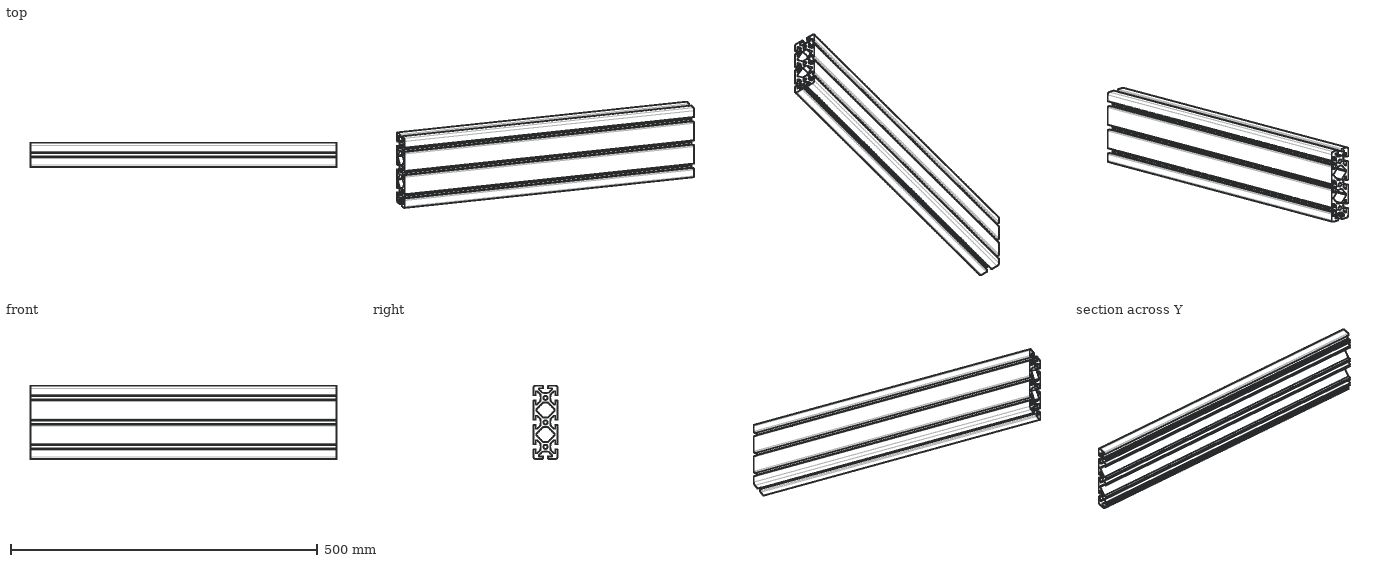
import cadquery as cq
import math

length = 500.0
cell = 40.0
cell_count = 3

corner_radius = 4.0
bore_diameter = 6.5

slot_opening = 8.0
lip_thickness = 4.4
mouth_radius = 1.5
slot_depth = 11.5
pocket_width = 21.0

groove_depth = 0.5
groove_width = 4.5

web_thickness = 4.5

skin_thickness = 5.0
chamber_half_height = 12.0
chamber_diagonal = 16.0

width = cell
height = cell * cell_count
half_cell = cell / 2
core_half = half_cell - slot_depth
web_offset = web_thickness / math.sqrt(2)
cell_centres = [(i - (cell_count - 1) / 2) * cell for i in range(cell_count)]
chamber_centres = [(low + high) / 2 for low, high in zip(cell_centres, cell_centres[1:])]


def extrude_along_x(outline):
    """Closed (y, z) outline swept over the full length of the profile."""
    return cq.Workplane("YZ").polyline(outline).close().extrude(length)


def t_slot(centre_z, angle):
    """T-slot that opens toward +Y from a cell centre, turned about the cell axis."""
    mouth = slot_opening / 2
    pocket = pocket_width / 2
    lip_inside = half_cell - lip_thickness
    floor_half = core_half - web_offset
    groove = groove_width / 2
    wall_end = half_cell - mouth_radius
    upper_half = [
        (core_half - groove_depth, groove),
        (core_half, groove),
        (core_half, floor_half),
        (pocket + web_offset, pocket),
        (lip_inside, pocket),
        (lip_inside, mouth),
        (wall_end, mouth),
    ]
    lower_half = [(y, -z) for y, z in reversed(upper_half)]
    slot = (
        cq.Workplane("YZ")
        .polyline(lower_half + upper_half)
        .radiusArc((half_cell, mouth + mouth_radius), -mouth_radius)
        .lineTo(half_cell, -mouth - mouth_radius)
        .radiusArc(lower_half[0], -mouth_radius)
        .close()
        .extrude(length)
    )
    return slot.rotate((0, 0, 0), (1, 0, 0), angle).translate((0, 0, centre_z))


def hollow_chamber(centre_z):
    """Diamond chamber between two cells, cut flat at its four points."""
    tip_y = half_cell - skin_thickness
    tip_z = chamber_half_height
    quarter = [(tip_y, chamber_diagonal - tip_y), (chamber_diagonal - tip_z, tip_z)]
    upper_half = quarter + [(-y, z) for y, z in reversed(quarter)]
    lower_half = [(-y, -z) for y, z in upper_half]
    return extrude_along_x(upper_half + lower_half).translate((0, 0, centre_z))


result = (
    cq.Workplane("YZ")
    .rect(width, height)
    .extrude(length)
    .edges("|X")
    .fillet(corner_radius)
)

for centre in cell_centres:
    for face_angle in (0, 180):
        result = result.cut(t_slot(centre, face_angle))

result = result.cut(t_slot(cell_centres[-1], 90))
result = result.cut(t_slot(cell_centres[0], -90))

for centre in chamber_centres:
    result = result.cut(hollow_chamber(centre))

bores = (
    cq.Workplane("YZ")
    .pushPoints([(0, centre) for centre in cell_centres])
    .circle(bore_diameter / 2)
    .extrude(length)
)
result = result.cut(bores).translate((-length / 2, 0, 0))